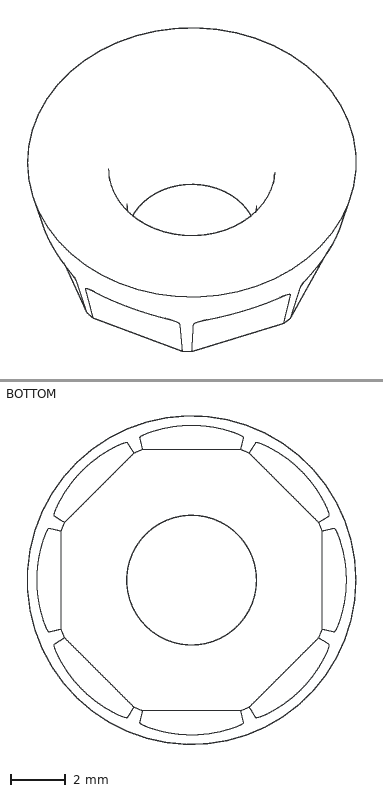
import cadquery as cq
import math

height = 4.76
top_radius = 5.98
relief_angle = math.radians(10.8)
bottom_radius = top_radius - height * math.tan(relief_angle)

ring_radius = 3.87
ring_z = height - 0.1

lip_radius = 0.32
mouth_radius = 3.02
upper_bore_radius = 2.96
lower_bore_radius = 2.35
seat_depth = 1.77
seat_angle = math.radians(40)
seat_top_round = 0.66
seat_bottom_round = 0.31

flat_count = 8
flat_apothem = 4.75
flat_tilt = 10.6
flat_length = 2.37
ramp_round = 0.68
ramp_turn = math.radians(37)
cutter_half_width = 3.58
cutter_reach = 2.39
cutter_overrun = 1.2


def make_body():
    return (
        cq.Workplane("XZ")
        .moveTo(0, 0)
        .lineTo(bottom_radius, 0)
        .lineTo(top_radius, height)
        .lineTo(ring_radius, ring_z)
        .lineTo(0, ring_z)
        .close()
        .revolve(360, (0, 0, 0), (0, 1, 0))
    )


def round_corner(before, corner, after, radius):
    """Return start, middle and end points of the arc rounding a corner."""
    corner = cq.Vector(*corner)
    toward_before = (cq.Vector(*before) - corner).normalized()
    toward_after = (cq.Vector(*after) - corner).normalized()
    half_angle = toward_before.getAngle(toward_after) / 2
    tangent_length = radius / math.tan(half_angle)
    middle_distance = radius / math.sin(half_angle) - radius
    bisector = (toward_before + toward_after).normalized()
    points = (
        corner + toward_before * tangent_length,
        corner + bisector * middle_distance,
        corner + toward_after * tangent_length,
    )
    return [(point.x, point.y) for point in points]


def make_hole():
    mouth = (mouth_radius, ring_z - lip_radius)
    seat_top = (upper_bore_radius, height - seat_depth)
    seat_drop = (upper_bore_radius - lower_bore_radius) / math.tan(seat_angle)
    seat_bottom = (lower_bore_radius, seat_top[1] - seat_drop)
    bore_end = (lower_bore_radius, 0)
    top_arc = round_corner(mouth, seat_top, seat_bottom, seat_top_round)
    bottom_arc = round_corner(seat_top, seat_bottom, bore_end, seat_bottom_round)
    lip_offset = lip_radius * (1 - math.sqrt(0.5))
    lip_middle = (mouth_radius + lip_offset, ring_z - lip_offset)
    return (
        cq.Workplane("XZ")
        .moveTo(0, 0)
        .lineTo(*bore_end)
        .lineTo(*bottom_arc[2])
        .threePointArc(bottom_arc[1], bottom_arc[0])
        .lineTo(*top_arc[2])
        .threePointArc(top_arc[1], top_arc[0])
        .lineTo(*mouth)
        .threePointArc(lip_middle, (mouth_radius + lip_radius, ring_z))
        .lineTo(0, ring_z)
        .close()
        .revolve(360, (0, 0, 0), (0, 1, 0))
    )


def make_flat_cutter():
    """Cutter facing +X: a flat floor curving out into a straight ramp."""

    def ramp_point(angle):
        return (
            flat_apothem + ramp_round * (1 - math.cos(angle)),
            flat_length + ramp_round * math.sin(angle),
        )

    outer_x = flat_apothem + cutter_reach
    ramp_start = ramp_point(ramp_turn)
    ramp_end_z = ramp_start[1] + (outer_x - ramp_start[0]) / math.tan(ramp_turn)
    cutter = (
        cq.Workplane("XZ")
        .moveTo(flat_apothem, -cutter_overrun)
        .lineTo(flat_apothem, flat_length)
        .threePointArc(ramp_point(ramp_turn / 2), ramp_start)
        .lineTo(outer_x, ramp_end_z)
        .lineTo(outer_x, -cutter_overrun)
        .close()
        .extrude(cutter_half_width, both=True)
    )
    return cutter.rotate((flat_apothem, 0, 0), (flat_apothem, 1, 0), flat_tilt)


result = make_body().cut(make_hole())
flat_cutter = make_flat_cutter()
for index in range(flat_count):
    result = result.cut(flat_cutter.rotate((0, 0, 0), (0, 0, 1), index * 360 / flat_count))